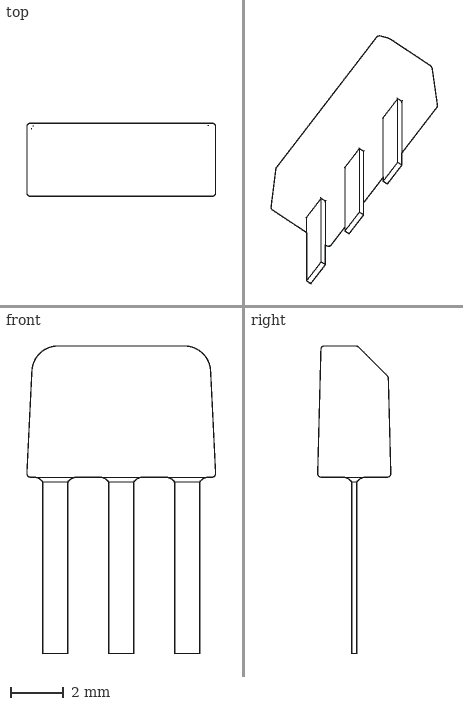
import cadquery as cq
import math

total_height = 11.7
housing_height = 5.0
base_width = 7.2
base_depth = 2.8

side_draft = 2.8
face_draft = 1.5
shoulder_radius = 1.01
bevel_top_y = 0.12
edge_radius = 0.14

lead_count = 3
lead_pitch = 2.5
lead_width = 0.96
lead_thickness = 0.2
lead_positions = [(i - (lead_count - 1) / 2) * lead_pitch for i in range(lead_count)]

collar_height = 0.19
collar_radius = 0.4
collar_reach = math.sqrt(collar_radius**2 - (collar_radius - collar_height) ** 2)


def make_front_outline():
    """Tapered outline with rounded shoulders, extruded through the depth."""
    half_base = base_width / 2
    half_top = half_base - housing_height * math.tan(math.radians(side_draft))
    return (
        cq.Workplane("XZ")
        .polyline([
            (-half_base, 0),
            (half_base, 0),
            (half_top, housing_height),
            (-half_top, housing_height),
        ])
        .close()
        .extrude(base_depth / 2, both=True)
        .edges("|Y and >Z")
        .fillet(shoulder_radius)
    )


def make_side_outline():
    """Drafted side profile with a 45 degree bevel at the top of the back face."""
    half_base = base_depth / 2
    slope = math.tan(math.radians(face_draft))
    front_top_y = -half_base + housing_height * slope
    bevel_foot_z = (housing_height + bevel_top_y - half_base) / (1 - slope)
    bevel_foot_y = half_base - bevel_foot_z * slope
    return (
        cq.Workplane("YZ")
        .polyline([
            (-half_base, 0),
            (half_base, 0),
            (bevel_foot_y, bevel_foot_z),
            (bevel_top_y, housing_height),
            (front_top_y, housing_height),
        ])
        .close()
        .extrude(base_width / 2, both=True)
    )


def make_collar(x):
    """Flare that curves out from a lead and runs tangent into the underside."""
    core = (
        cq.Workplane("XY")
        .center(x, 0)
        .rect(lead_width, lead_thickness)
        .extrude(-collar_height)
    )
    lead_edge = x + lead_width / 2
    half_sweep = math.asin(collar_reach / collar_radius) / 2
    mid_x = lead_edge + collar_reach - collar_radius * math.sin(half_sweep)
    mid_z = -collar_radius * (1 - math.cos(half_sweep))
    path = (
        cq.Workplane("XY")
        .moveTo(lead_edge, 0)
        .lineTo(lead_edge, lead_thickness / 2)
        .lineTo(lead_edge - lead_width, lead_thickness / 2)
        .lineTo(lead_edge - lead_width, -lead_thickness / 2)
        .lineTo(lead_edge, -lead_thickness / 2)
        .close()
    )
    flare = (
        cq.Workplane("XZ")
        .moveTo(lead_edge, 0)
        .lineTo(lead_edge, -collar_height)
        .threePointArc((mid_x, mid_z), (lead_edge + collar_reach, 0))
        .close()
        .sweep(path, transition="round")
    )
    return core.union(flare)


def make_housing():
    body = make_front_outline().intersect(make_side_outline())
    body = body.edges("(not |Y) or (|Y and <Z)").fillet(edge_radius)
    for x in lead_positions:
        body = body.union(make_collar(x))
    return body.solids().val()


def make_lead(x):
    """Flat strip hanging from the lower end of its collar."""
    lead_bottom = housing_height - total_height
    return (
        cq.Workplane("XY", origin=(x, 0, lead_bottom))
        .rect(lead_width, lead_thickness)
        .extrude(-collar_height - lead_bottom)
    )


housing = make_housing()
leads = [make_lead(x) for x in lead_positions]

result = cq.Compound.makeCompound([housing, *[lead.val() for lead in leads]])